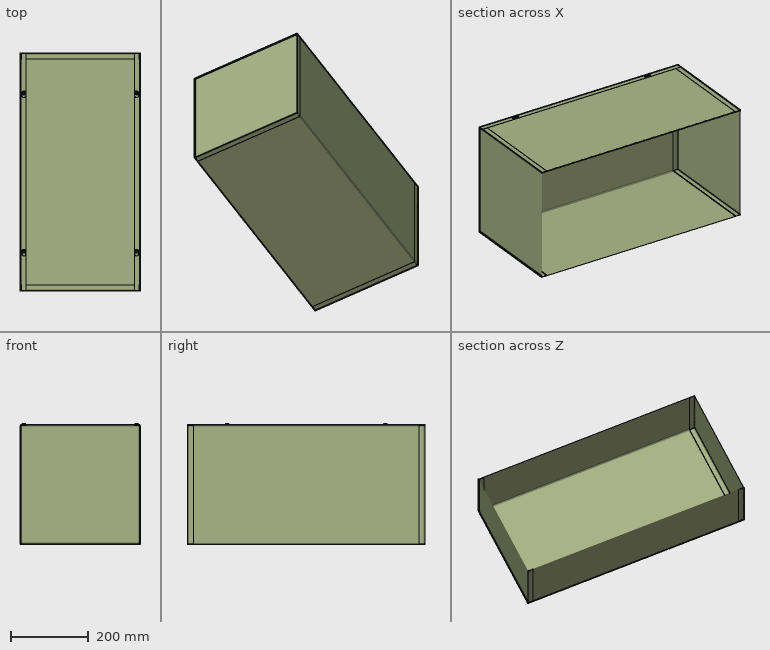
import cadquery as cq

width = 308.0
length = 609.5
total_height = 310.0

sheet = 1.5
inner_bend = 0.5
outer_bend = inner_bend + sheet
flange = 15.0

head_height = 2.5
head_diameter = 10.0
head_top_diameter = 7.5
socket_diameter = 4.15
socket_depth = 1.0
shank_diameter = 3.7
shank_length = 5.0
slot_width = 10.0
slot_travel = 7.5
screw_x = 144.5
screw_y = 203.0

lid_top = total_height - head_height
tub_top = lid_top - sheet
lid_width = width - 2 * outer_bend
panel_width = width - 2 * sheet
opening_width = width - 2 * flange
screw_places = [(x, y) for x in (-screw_x, screw_x) for y in (-screw_y, screw_y)]


def block(size_x, size_y, bottom, top):
    """Upright block centred on the Z axis."""
    return cq.Workplane("XY", origin=(0, 0, bottom)).rect(size_x, size_y).extrude(top - bottom)


def make_envelope():
    """Solid shape of the closed tub, with its four bends along Y."""
    return block(width, length, 0, tub_top).edges("|Y").fillet(outer_bend)


def make_wrap():
    """Floor, two side walls and their in-turned top flanges, folded from one sheet."""
    inside = block(panel_width, length, sheet, tub_top - sheet).edges("|Y").fillet(inner_bend)
    opening = block(opening_width, length, tub_top - sheet, tub_top)
    shank_holes = (
        cq.Workplane("XY", origin=(0, 0, tub_top))
        .pushPoints(screw_places)
        .circle(shank_diameter / 2)
        .extrude(-sheet)
    )
    return make_envelope().cut(inside).cut(opening).cut(shank_holes)


def make_end_panel(turn, wrap):
    """Pan closing one end: its flanges run inward, trimmed where the wrap's flanges and bends lie."""
    outside = block(panel_width, flange, sheet, tub_top).faces("<Y").edges().fillet(outer_bend)
    cavity = (
        block(panel_width - 2 * sheet, flange, 2 * sheet, tub_top - sheet)
        .faces("<Y")
        .edges()
        .fillet(inner_bend)
        .translate((0, sheet, 0))
    )
    pan = outside.cut(cavity).translate((0, (flange - length) / 2, 0))
    return pan.rotate((0, 0, 0), (0, 0, 1), turn).intersect(make_envelope()).cut(wrap)


def make_lid():
    """Flat plate between the tub's top bends, with one slot around each screw."""
    plate = block(lid_width, length, tub_top, lid_top)
    slots = (
        cq.Workplane("XY", origin=(0, 0, tub_top))
        .pushPoints([(x, y - slot_travel / 2) for x, y in screw_places])
        .slot2D(slot_travel + slot_width, slot_width, 90)
        .extrude(sheet)
    )
    return plate.cut(slots)


def make_screw(x, y):
    """Screw with a tapered round head and a round socket."""
    head = (
        cq.Workplane("XY", origin=(x, y, lid_top))
        .circle(head_diameter / 2)
        .workplane(offset=head_height)
        .circle(head_top_diameter / 2)
        .loft()
    )
    socket = cq.Workplane("XY", origin=(x, y, total_height)).circle(socket_diameter / 2).extrude(-socket_depth)
    shank = cq.Workplane("XY", origin=(x, y, lid_top)).circle(shank_diameter / 2).extrude(-shank_length)
    return head.cut(socket).union(shank)


wrap = make_wrap()
end_panels = [make_end_panel(turn, wrap) for turn in (0, 180)]
lid = make_lid()
screws = [make_screw(x, y) for x, y in screw_places]
bodies = [wrap, *end_panels, lid, *screws]
result = cq.Compound.makeCompound([body.solids().val() for body in bodies])